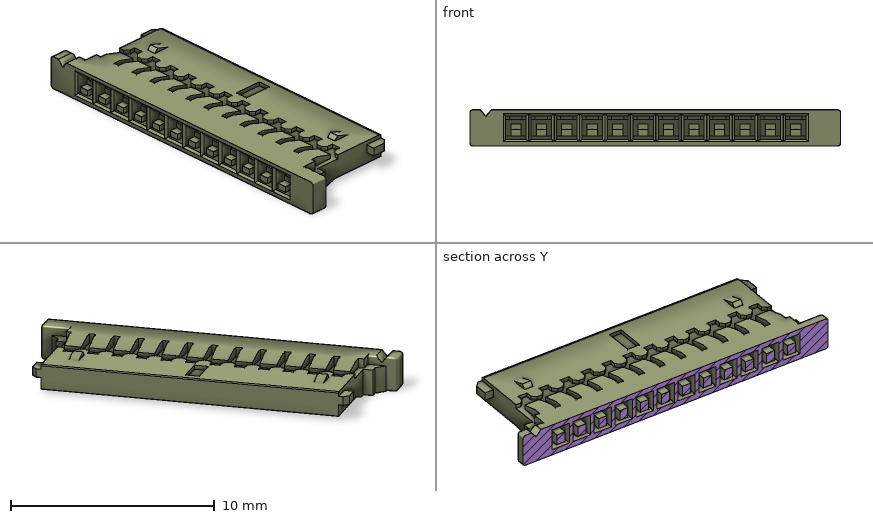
import cadquery as cq

WIDTH = 18.22
DEPTH = 6.2
HEIGHT = 1.8

CONTACT_COUNT = 12
PITCH = 1.25
ROW_OFFSET = 0.03
CONTACT_X = [ROW_OFFSET + (i - (CONTACT_COUNT - 1) / 2) * PITCH for i in range(CONTACT_COUNT)]

BODY_WIDTH = 15.22
PLATE_BOTTOM = 0.285
PLATE_TOP = 1.535
TROUGH_FLOOR = 1.32
UNDERSIDE_RAMP_FRONT = 2.2
UNDERSIDE_RAMP_REAR = 3.0
BLOCK_RAMP_FRONT = 2.03
BLOCK_REAR = 2.98
PLATE_FRONT = 3.24
REAR_CHAMFER_LENGTH = 0.12
REAR_CHAMFER_DROP = 0.04

FLANGE_DEPTH = 1.0
FLANGE_FILLET = 0.17
WEB_WIDTH = 16.2
WEB_REAR = 1.82
WEB_CHAMFER = 0.43

GROOVE_X = -8.32
GROOVE_HALF_WIDTH = 0.28
GROOVE_DEPTH = 0.33

TOOTH_ROOT_Y = 1.645
TOOTH_TIP_HALF_WIDTH = 0.43
TOOTH_ROOT_HALF_WIDTH = 0.47

NOTCH_REAR = 3.79
NOTCH_SHOULDER = 3.46
NOTCH_HALF_WIDTH = 0.26
NOTCH_MOUTH_HALF_WIDTH = 0.48

LUG_LENGTH = 0.98
LUG_BOTTOM = 0.88
LUG_CHAMFER = 0.25

LATCH_X = 6.26
LATCH_WIDTH = 0.5
LATCH_FRONT = 4.1
LATCH_PEAK = 4.3
LATCH_REAR = 5.0
LATCH_TOP = 1.755
RECESS_WIDTH = 0.7
RECESS_FRONT = 4.12
RECESS_REAR = 5.7

CAVITY_WIDTH = 1.0
CAVITY_BOTTOM = 0.335
CAVITY_TOP = 1.485
CAVITY_LEAD_IN = 0.115
CAVITY_STEP_Y = 1.0
CAVITY_REAR = 1.4
THROAT_BOTTOM = 0.495
THROAT_TOP = 1.317
KEYWAY_WIDTH = 0.62
KEYWAY_TOP = CAVITY_TOP
KEYWAY_REAR = 1.2

TONGUE_WIDTH = 0.5
TONGUE_FRONT = 0.03
TONGUE_STEP_Y = 0.47
TONGUE_TIP_TOP = 0.816
TONGUE_ROOT_TOP = 1.1


def box(x_center, x_size, y_range, z_range):
    """Box centred on x_center that spans the given Y and Z ranges."""
    y_size = y_range[1] - y_range[0]
    z_size = z_range[1] - z_range[0]
    corner_box = cq.Workplane("XY").box(x_size, y_size, z_size, centered=(True, False, False))
    return corner_box.translate((x_center, y_range[0], z_range[0]))


def side_profile(points, x_center, x_size):
    """Extrude a (Y, Z) outline along X, centred on x_center."""
    profile = cq.Workplane("YZ").polyline(points).close()
    return profile.extrude(x_size / 2, both=True).translate((x_center, 0, 0))


def plan_profile(points, z_range):
    """Extrude an (X, Y) outline between two heights."""
    profile = cq.Workplane("XY", origin=(0, 0, z_range[0])).polyline(points).close()
    return profile.extrude(z_range[1] - z_range[0])


def make_body():
    outline = [
        (0, 0),
        (UNDERSIDE_RAMP_FRONT, 0),
        (UNDERSIDE_RAMP_REAR, PLATE_BOTTOM),
        (DEPTH, PLATE_BOTTOM),
        (DEPTH, PLATE_TOP - REAR_CHAMFER_DROP),
        (DEPTH - REAR_CHAMFER_LENGTH, PLATE_TOP),
        (PLATE_FRONT, PLATE_TOP),
        (PLATE_FRONT, TROUGH_FLOOR),
        (BLOCK_REAR, TROUGH_FLOOR),
        (BLOCK_REAR, PLATE_TOP),
        (BLOCK_RAMP_FRONT, HEIGHT),
        (0, HEIGHT),
    ]
    return side_profile(outline, 0, BODY_WIDTH)


def make_flange():
    flange = box(0, WIDTH, (0, FLANGE_DEPTH), (0, HEIGHT))
    return flange.edges("|Y or >Y").fillet(FLANGE_FILLET)


def make_webs():
    """Webs that stiffen the flange, each widening at 45 degrees to meet its rear face."""
    half_width = WEB_WIDTH / 2
    foot_half_width = half_width + WEB_CHAMFER
    flange_middle = FLANGE_DEPTH / 2
    outline = [
        (-foot_half_width, flange_middle),
        (foot_half_width, flange_middle),
        (foot_half_width, FLANGE_DEPTH),
        (half_width, FLANGE_DEPTH + WEB_CHAMFER),
        (half_width, WEB_REAR),
        (-half_width, WEB_REAR),
        (-half_width, FLANGE_DEPTH + WEB_CHAMFER),
        (-foot_half_width, FLANGE_DEPTH),
    ]
    return plan_profile(outline, (0, TROUGH_FLOOR))


def make_lugs():
    lug_bar = box(0, WEB_WIDTH, (DEPTH - LUG_LENGTH, DEPTH), (LUG_BOTTOM, TROUGH_FLOOR))
    lug_bar = lug_bar.edges("|Z and >Y").chamfer(LUG_CHAMFER)
    body_gap = box(0, BODY_WIDTH, (0, DEPTH), (0, HEIGHT))
    return lug_bar.cut(body_gap)


def make_latch(x_center):
    wedge = [(LATCH_FRONT, PLATE_TOP), (LATCH_PEAK, LATCH_TOP), (LATCH_REAR, PLATE_TOP)]
    return side_profile(wedge, x_center, LATCH_WIDTH)


def make_tooth_gaps():
    """Material between the teeth: the full rear strip of the block minus one tooth per contact."""
    heights = (TROUGH_FLOOR, HEIGHT)
    gaps = box(0, BODY_WIDTH, (TOOTH_ROOT_Y, BLOCK_REAR), heights)
    for x in CONTACT_X:
        tooth = [
            (x - TOOTH_ROOT_HALF_WIDTH, TOOTH_ROOT_Y),
            (x + TOOTH_ROOT_HALF_WIDTH, TOOTH_ROOT_Y),
            (x + TOOTH_TIP_HALF_WIDTH, BLOCK_REAR),
            (x - TOOTH_TIP_HALF_WIDTH, BLOCK_REAR),
        ]
        gaps = gaps.cut(plan_profile(tooth, heights))
    return gaps


def make_notch(x):
    outline = [
        (x - NOTCH_MOUTH_HALF_WIDTH, PLATE_FRONT),
        (x - NOTCH_HALF_WIDTH, NOTCH_SHOULDER),
        (x - NOTCH_HALF_WIDTH, NOTCH_REAR),
        (x + NOTCH_HALF_WIDTH, NOTCH_REAR),
        (x + NOTCH_HALF_WIDTH, NOTCH_SHOULDER),
        (x + NOTCH_MOUTH_HALF_WIDTH, PLATE_FRONT),
    ]
    return plan_profile(outline, (TROUGH_FLOOR, PLATE_TOP))


def make_polarity_groove():
    outline = [
        (GROOVE_X - GROOVE_HALF_WIDTH, HEIGHT),
        (GROOVE_X, HEIGHT - GROOVE_DEPTH),
        (GROOVE_X + GROOVE_HALF_WIDTH, HEIGHT),
    ]
    return cq.Workplane("XZ").polyline(outline).close().extrude(-FLANGE_DEPTH)


def make_cavity(x):
    """Stepped cavity with a flared mouth, a roof keyway and a tongue left standing inside."""
    height = CAVITY_TOP - CAVITY_BOTTOM
    flare = 2 * CAVITY_LEAD_IN
    mouth = (
        cq.Workplane("XZ", origin=(x, 0, CAVITY_BOTTOM + height / 2))
        .rect(CAVITY_WIDTH + flare, height + flare)
        .workplane(offset=-CAVITY_LEAD_IN)
        .rect(CAVITY_WIDTH, height)
        .loft()
    )
    chamber = box(x, CAVITY_WIDTH, (CAVITY_LEAD_IN, CAVITY_STEP_Y), (CAVITY_BOTTOM, CAVITY_TOP))
    throat = box(x, CAVITY_WIDTH, (CAVITY_STEP_Y, CAVITY_REAR), (THROAT_BOTTOM, THROAT_TOP))
    keyway = box(x, KEYWAY_WIDTH, (CAVITY_STEP_Y, KEYWAY_REAR), (THROAT_TOP, KEYWAY_TOP))
    tongue = side_profile(
        [
            (TONGUE_FRONT, THROAT_BOTTOM),
            (TONGUE_FRONT, TONGUE_TIP_TOP),
            (TONGUE_STEP_Y, TONGUE_TIP_TOP),
            (TONGUE_STEP_Y, TONGUE_ROOT_TOP),
            (CAVITY_REAR, TONGUE_ROOT_TOP),
            (CAVITY_REAR, THROAT_BOTTOM),
        ],
        x,
        TONGUE_WIDTH,
    )
    return mouth.union(chamber).union(throat).union(keyway).cut(tongue)


result = make_body().cut(make_tooth_gaps())
result = result.union(make_flange()).union(make_webs()).union(make_lugs())
for side in (-1, 1):
    result = result.union(make_latch(side * LATCH_X))
result = result.cut(box(0, RECESS_WIDTH, (RECESS_FRONT, RECESS_REAR), (TROUGH_FLOOR, PLATE_TOP)))
result = result.cut(make_polarity_groove())
for contact_x in CONTACT_X:
    result = result.cut(make_notch(contact_x)).cut(make_cavity(contact_x))